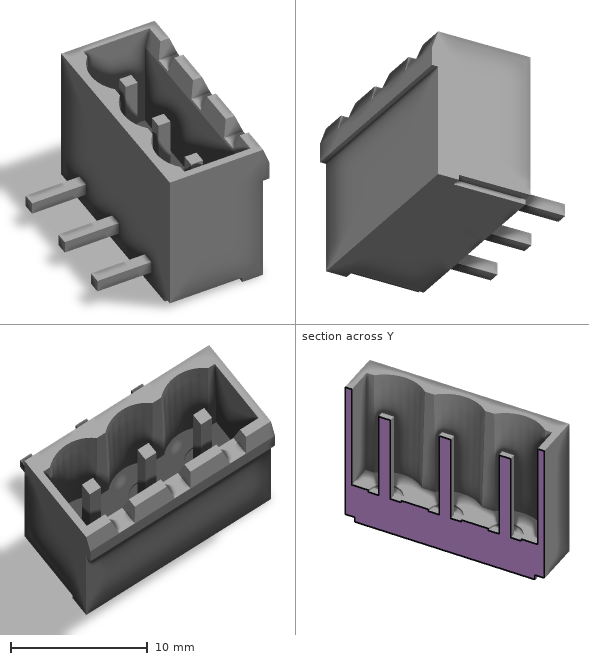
import cadquery as cq

width = 16.6
depth = 7.79
height = 12.0

lip_projection = 0.51
lip_height = 2.97
lip_bevel_height = 1.45
lip_back = depth + lip_projection

contact_count = 3
pitch = 5.0
pin_size = 1.0
pin_y = 3.8
pin_top = height - 1.7
tail_length = 4.5
tail_bottom = 1.3
contact_xs = [(i - (contact_count - 1) / 2) * pitch for i in range(contact_count)]

side_wall = 0.58
cavity_width = width - 2 * side_wall
floor_z = 3.32
front_wall_top = 1.53
front_wall_base = 1.71
back_edge_top = 7.04
back_edge_base = 6.65
back_slope_height = 1.61

scallop_top_radius = 3.1
scallop_base_radius = 2.87

recess_radius = 1.36
recess_depth = 0.17

notch_depth = 1.41
notch_top_width = 2.12
notch_bottom_width = 1.4

relief_width = 0.78
relief_length = 6.05
relief_height = 0.42


def extrude_across(points, length):
    """Extrude a closed (Y, Z) outline along X, centred on X = 0."""
    return cq.Workplane("YZ").polyline(points).close().extrude(length / 2, both=True)


def box_from(x_center, x_size, y_range, z_range):
    """Make a box centred on x_center that spans the given Y and Z ranges."""
    y_size = y_range[1] - y_range[0]
    z_size = z_range[1] - z_range[0]
    box = cq.Workplane("XY").box(x_size, y_size, z_size, centered=(True, False, False))
    return box.translate((x_center, y_range[0], z_range[0]))


def make_housing():
    outline = [
        (0, 0),
        (depth, 0),
        (depth, height - lip_height),
        (lip_back, height - lip_height),
        (lip_back, height - lip_bevel_height),
        (depth, height),
        (0, height),
    ]
    return extrude_across(outline, width)


def make_cavity():
    outline = [
        (front_wall_base, floor_z),
        (back_edge_base, floor_z),
        (back_edge_base, height - back_slope_height),
        (back_edge_top, height),
        (front_wall_top, height),
    ]
    return extrude_across(outline, cavity_width)


def make_scallop(x):
    """Cone around a pin, kept only in front of the pin and between the side walls."""
    cone = cq.Workplane(
        cq.Solid.makeCone(
            scallop_base_radius,
            scallop_top_radius,
            height - floor_z,
            pnt=cq.Vector(x, pin_y, floor_z),
        )
    )
    return cone.intersect(box_from(0, cavity_width, (0, pin_y), (floor_z, height)))


def make_recess(x):
    disc = cq.Workplane("XY").circle(recess_radius).extrude(recess_depth)
    return disc.translate((x, pin_y, floor_z - recess_depth))


def make_notch(x):
    outline = [
        (x - notch_bottom_width / 2, height - notch_depth),
        (x + notch_bottom_width / 2, height - notch_depth),
        (x + notch_top_width / 2, height),
        (x - notch_top_width / 2, height),
    ]
    notch = cq.Workplane("XZ").polyline(outline).close().extrude(pin_y - lip_back)
    return notch.translate((0, pin_y, 0))


def make_contact(x):
    """Bent square pin: an upright inside the cavity and a tail out of the front."""
    pin_back = pin_y + pin_size / 2
    upright = box_from(x, pin_size, (pin_back - pin_size, pin_back), (tail_bottom, pin_top))
    tail = box_from(x, pin_size, (-tail_length, pin_back), (tail_bottom, tail_bottom + pin_size))
    return upright.union(tail)


result = make_housing().cut(make_cavity())

for contact_x in contact_xs:
    result = result.cut(make_scallop(contact_x))
    result = result.cut(make_recess(contact_x))
    result = result.cut(make_notch(contact_x))

for side in (-1, 1):
    relief_x = side * (width - relief_width) / 2
    result = result.cut(box_from(relief_x, relief_width, (0, relief_length), (0, relief_height)))

for contact_x in contact_xs:
    result = result.union(make_contact(contact_x))